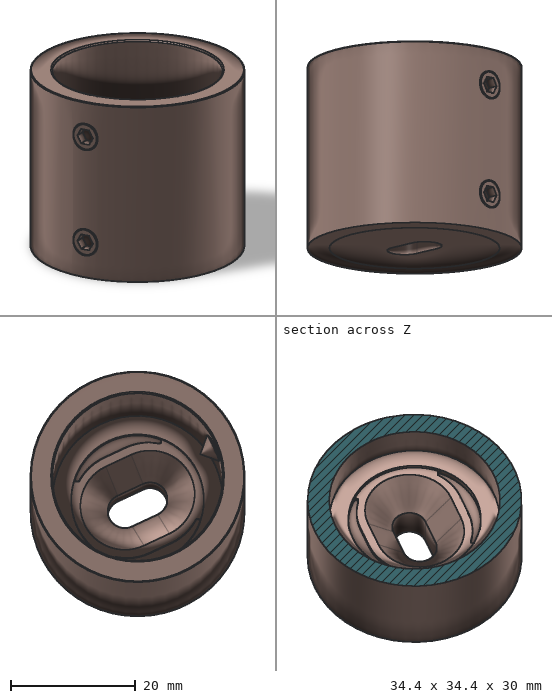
import cadquery as cq
import math

outer_diameter = 34.4
height = 30.0
bore_diameter = 27.3
bore_chamfer = 0.25
rim_chamfer = 0.15

screw_diameter = 4.5
screw_end_diameter = 4.2
screw_end_radius = 17.13
screw_tip_radius = 11.15
screw_inset = 6.0
socket_across_flats = 2.48
socket_depth = 1.72
screw_heights = (screw_inset, height - screw_inset)

insert_thickness = 10.0
recess_diameter = 21.3
recess_depth = 0.5
slot_width = 5.5
slot_straight = 4.5
countersink_width = 14.28
countersink_depth = (countersink_width - slot_width) / 2

crescent_depth = 0.5
crescent_inner_half_width = 8.6
crescent_tip_circle_diameter = 20.5
crescent_tip_angle = 45

recess_floor = insert_thickness - recess_depth


def make_screw_blank(axis_height):
    """Solid of revolution: cone tip, shank and chamfered outer end."""
    radius = screw_diameter / 2
    end_chamfer = (screw_diameter - screw_end_diameter) / 2
    profile = (
        cq.Workplane("XY")
        .moveTo(0, -screw_tip_radius)
        .lineTo(radius, -screw_tip_radius - radius)
        .lineTo(radius, -screw_end_radius + end_chamfer)
        .lineTo(radius - end_chamfer, -screw_end_radius)
        .lineTo(0, -screw_end_radius)
        .close()
    )
    return profile.revolve(360, (0, 0), (0, 1)).translate((0, 0, axis_height))


def make_screw(axis_height):
    """Grub screw with a hexagon socket whose flats face up and down."""
    across_corners = socket_across_flats / math.cos(math.radians(30))
    socket = (
        cq.Workplane("XZ", origin=(0, -screw_end_radius, axis_height))
        .polygon(6, across_corners)
        .extrude(-socket_depth)
    )
    return make_screw_blank(axis_height).cut(socket)


def make_housing():
    """Sleeve with a chamfered top and two radial screw holes."""
    sleeve = cq.Workplane("XY").circle(outer_diameter / 2).extrude(height)
    sleeve = sleeve.faces(">Z").edges().chamfer(rim_chamfer)
    sleeve = sleeve.cut(cq.Workplane("XY").circle(bore_diameter / 2).extrude(height))
    sleeve = sleeve.faces(">Z").edges(cq.selectors.RadiusNthSelector(0)).chamfer(bore_chamfer)
    for axis_height in screw_heights:
        hole = (
            cq.Workplane("XZ", origin=(0, 0, axis_height))
            .circle(screw_diameter / 2)
            .extrude(outer_diameter / 2)
        )
        sleeve = sleeve.cut(hole)
    return sleeve


def make_slot_cutter():
    """Straight slot along Y, countersunk from the recess floor."""
    slot = cq.Workplane("XY").slot2D(slot_straight + slot_width, slot_width, 90).extrude(recess_floor)
    countersink = (
        cq.Workplane("XY", origin=(0, 0, recess_floor))
        .slot2D(slot_straight + countersink_width, countersink_width, 90)
        .extrude(-countersink_depth, taper=45)
    )
    return slot.union(countersink)


def make_crescent_cutter():
    """Pocket on the +X side: outer arc on the recess wall, rounded tips, stadium-shaped inner wall."""
    outer_radius = recess_diameter / 2
    tip_path_radius = crescent_tip_circle_diameter / 2
    tip_radius = outer_radius - tip_path_radius
    angle = math.radians(crescent_tip_angle)
    tip_x = tip_path_radius * math.cos(angle)
    tip_y = tip_path_radius * math.sin(angle)

    inner_radius = crescent_inner_half_width
    centre_y = tip_y - math.sqrt((inner_radius + tip_radius) ** 2 - tip_x ** 2)
    inner_angle = math.atan2(tip_y - centre_y, tip_x)

    outer_end = (outer_radius * math.cos(angle), outer_radius * math.sin(angle))
    inner_end = (inner_radius * math.cos(inner_angle), centre_y + inner_radius * math.sin(inner_angle))
    inner_middle = (
        inner_radius * math.cos(inner_angle / 2),
        centre_y + inner_radius * math.sin(inner_angle / 2),
    )
    tip_end = (tip_x - tip_radius * math.sin(angle), tip_y + tip_radius * math.cos(angle))

    def mirrored(point):
        return (point[0], -point[1])

    outline = (
        cq.Workplane("XY", origin=(0, 0, recess_floor))
        .moveTo(*mirrored(outer_end))
        .threePointArc((outer_radius, 0), outer_end)
        .threePointArc(tip_end, inner_end)
        .threePointArc(inner_middle, (inner_radius, centre_y))
        .lineTo(inner_radius, -centre_y)
        .threePointArc(mirrored(inner_middle), mirrored(inner_end))
        .threePointArc(mirrored(tip_end), mirrored(outer_end))
        .close()
    )
    return outline.extrude(-crescent_depth)


def make_insert():
    """Disc with a recess, two crescent pockets, a countersunk slot and a seat for the lower screw."""
    disc = cq.Workplane("XY").circle(bore_diameter / 2).extrude(insert_thickness)
    recess = (
        cq.Workplane("XY", origin=(0, 0, insert_thickness))
        .circle(recess_diameter / 2)
        .extrude(-recess_depth)
    )
    crescent = make_crescent_cutter()
    disc = disc.cut(recess).cut(make_slot_cutter())
    disc = disc.cut(crescent).cut(crescent.rotate((0, 0, 0), (0, 0, 1), 180))
    return disc.cut(make_screw_blank(screw_inset))


housing = make_housing()
insert = make_insert()
screws = [make_screw(axis_height) for axis_height in screw_heights]

result = cq.Compound.makeCompound([housing.val(), insert.val(), *[screw.val() for screw in screws]])